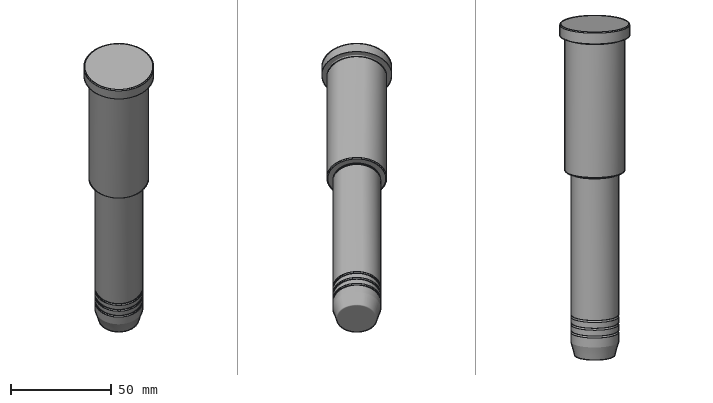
import cadquery as cq

total_length = 171.0
head_diameter = 35.0
head_thickness = 6.0
head_chamfer = 0.5

shank_diameter = 30.0
shank_length = 70.0
shank_chamfer = 0.5

guide_diameter = 24.0

neck_width = 1.0
neck_depth = 0.5

nose_length = 7.0
nose_tip_diameter = 20.2
nose_hollow = 0.1
nose_edge_radius = 0.5

groove_radius = 0.5
guide_groove_count = 3
guide_groove_pitch = 4.0
lowest_groove_height = 12.5

head_bottom = total_length - head_thickness
shank_bottom = head_bottom - shank_length


def cylinder(diameter, bottom, top):
    """Cylinder on the Z axis between two heights."""
    return cq.Workplane("XY").workplane(offset=bottom).circle(diameter / 2).extrude(top - bottom)


def groove_cutter(diameter, height):
    """Torus that cuts a half-round groove, centred on a height, into a cylinder."""
    ring_radius = diameter / 2
    return (
        cq.Workplane("XZ")
        .center(ring_radius, height)
        .circle(groove_radius)
        .revolve(360, (-ring_radius, 0), (-ring_radius, 1))
    )


def make_head():
    """Flat disc with a chamfered top edge."""
    return cylinder(head_diameter, head_bottom, total_length).faces(">Z").edges().chamfer(head_chamfer)


def make_shank():
    """Thick shank with a chamfered lower edge and a half-round groove under the head."""
    shank = cylinder(shank_diameter, shank_bottom, head_bottom).faces("<Z").edges().chamfer(shank_chamfer)
    return shank.cut(groove_cutter(shank_diameter, head_bottom - groove_radius))


def make_guide():
    """Slim grooved section that narrows to a relief neck under the shank."""
    neck_bottom = shank_bottom - neck_width
    neck = cylinder(guide_diameter - 2 * neck_depth, neck_bottom, shank_bottom)
    guide = cylinder(guide_diameter, nose_length, neck_bottom).union(neck)
    for index in range(guide_groove_count):
        height = lowest_groove_height + index * guide_groove_pitch
        guide = guide.cut(groove_cutter(guide_diameter, height))
    return guide


def make_nose():
    """Slightly hollow taper with a rounded tip edge."""
    guide_radius = guide_diameter / 2
    tip_radius = nose_tip_diameter / 2
    middle_radius = (guide_radius + tip_radius) / 2 - nose_hollow
    nose = (
        cq.Workplane("XZ")
        .lineTo(tip_radius, 0)
        .threePointArc((middle_radius, nose_length / 2), (guide_radius, nose_length))
        .lineTo(0, nose_length)
        .close()
        .revolve(360, (0, 0), (0, 1))
    )
    return nose.faces("<Z").edges().fillet(nose_edge_radius)


result = make_head().union(make_shank()).union(make_guide()).union(make_nose())